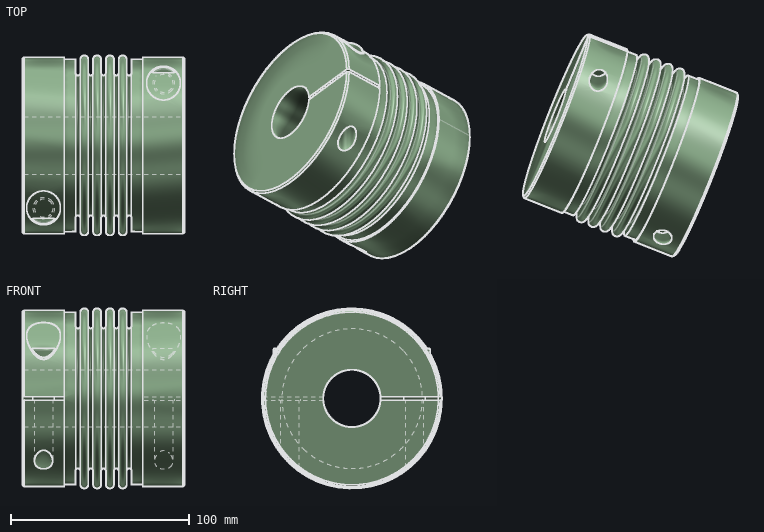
import cadquery as cq

total_length = 91.0
bore_diameter = 32.0

hub_diameter = 99.0
hub_length = 23.6
hub_chamfer = 1.0
collar_diameter = 96.8

bellows_diameter = 101.0
root_diameter = 78.6
ring_count = 4
ring_width = 4.6
groove_width = 2.5

slot_width = 1.8
screw_x = 11.9
screw_offset = 34.9
shank_diameter = 12.0
tapped_hole_diameter = 10.2
head_diameter = 18.0
head_height = 12.0
head_top = 28.1
head_fillet = 0.9

counterbore_diameter = 19.0
cover_rise = 0.1

bore_radius = bore_diameter / 2
hub_radius = hub_diameter / 2
collar_radius = collar_diameter / 2
tip_radius = bellows_diameter / 2
root_radius = root_diameter / 2
crest_base = tip_radius - ring_width / 2
groove_top = root_radius + groove_width / 2
center_x = total_length / 2
bellows_length = ring_count * ring_width + (ring_count + 1) * groove_width
collar_end = (total_length - bellows_length) / 2
head_bottom = head_top - head_height


def add_groove(profile, start_x):
    """Half-round groove bottom that starts at start_x."""
    return profile.threePointArc(
        (start_x + groove_width / 2, root_radius),
        (start_x + groove_width, groove_top),
    )


def add_ring(profile, start_x):
    """Straight-sided ring with a half-round crest that starts at start_x."""
    end_x = start_x + ring_width
    return (
        profile
        .lineTo(start_x, crest_base)
        .threePointArc((start_x + ring_width / 2, tip_radius), (end_x, crest_base))
        .lineTo(end_x, groove_top)
    )


def make_body():
    """Revolve the half section of hubs, collars and bellows about the X axis."""
    profile = (
        cq.Workplane("XY")
        .moveTo(0, bore_radius)
        .lineTo(0, hub_radius - hub_chamfer)
        .lineTo(hub_chamfer, hub_radius)
        .lineTo(hub_length, hub_radius)
        .lineTo(hub_length, collar_radius)
        .lineTo(collar_end, collar_radius)
        .lineTo(collar_end, groove_top)
    )
    profile = add_groove(profile, collar_end)
    for index in range(ring_count):
        ring_start = collar_end + groove_width + index * (ring_width + groove_width)
        profile = add_ring(profile, ring_start)
        profile = add_groove(profile, ring_start + ring_width)
    profile = (
        profile
        .lineTo(total_length - collar_end, collar_radius)
        .lineTo(total_length - hub_length, collar_radius)
        .lineTo(total_length - hub_length, hub_radius)
        .lineTo(total_length - hub_chamfer, hub_radius)
        .lineTo(total_length, hub_radius - hub_chamfer)
        .lineTo(total_length, bore_radius)
        .close()
    )
    return profile.revolve(360, (0, 0, 0), (1, 0, 0))


def screw_cylinder(diameter, bottom, top):
    """Cylinder on the clamping screw axis of the left hub."""
    return (
        cq.Workplane("XY", origin=(screw_x, -screw_offset, bottom))
        .circle(diameter / 2)
        .extrude(top - bottom)
    )


def make_slot():
    """Radial slot from the coupling axis through the rim, as long as the hub."""
    return (
        cq.Workplane("XY")
        .box(hub_length, hub_radius, slot_width, centered=(False, False, True))
        .translate((0, -hub_radius, 0))
    )


def make_cover():
    """Filled counterbore whose curved top stands slightly proud of the hub surface."""
    plug = screw_cylinder(counterbore_diameter, head_bottom, hub_radius)
    envelope = cq.Workplane("YZ").circle(hub_radius + cover_rise).extrude(hub_length)
    return plug.intersect(envelope)


def make_head():
    """Screw head with a rounded top edge that pokes out through the hub surface."""
    head = screw_cylinder(head_diameter, head_bottom, head_top)
    return head.faces(">Z").edges().fillet(head_fillet)


def both_hubs(feature):
    """A left hub feature with its copy on the right hub, half a turn about the vertical centre line."""
    copy = feature.rotate((center_x, 0, 0), (center_x, 0, 1), 180)
    return feature.union(copy)


tapped_hole = screw_cylinder(tapped_hole_diameter, -hub_radius, -slot_width / 2)
shank = screw_cylinder(shank_diameter, -slot_width / 2, slot_width / 2)

result = make_body()
for opening in (make_slot(), tapped_hole):
    result = result.cut(both_hubs(opening))
for added_part in (shank, make_cover(), make_head()):
    result = result.union(both_hubs(added_part))